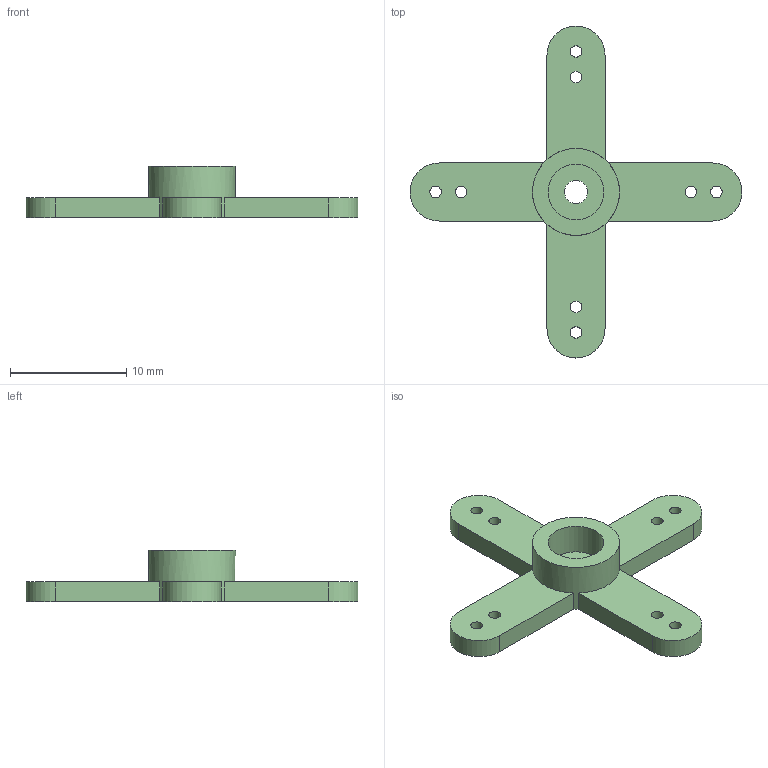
import cadquery as cq

span = 28.6
total_height = 4.4

arm_width = 5.0
arm_thickness = 1.7

hub_diameter = 7.5
socket_diameter = 4.8
socket_depth = total_height - arm_thickness
screw_hole_diameter = 2.0

link_hole_diameter = 1.0
link_hole_pitch = 2.2
link_hole_tip_distance = 2.2
outer_link_hole_radius = span / 2 - link_hole_tip_distance
link_hole_radii = [outer_link_hole_radius, outer_link_hole_radius - link_hole_pitch]

bar_angles = [0, 90]
arm_angles = [0, 90, 180, 270]


def make_bar(angle):
    """Round-ended bar that forms two opposite arms."""
    return cq.Workplane("XY").slot2D(span, arm_width, angle).extrude(arm_thickness)


def make_hub():
    """Solid round hub, standing on the same base plane as the arms."""
    return cq.Workplane("XY").circle(hub_diameter / 2).extrude(total_height)


def make_socket():
    """Blind spline socket, open at the top of the hub."""
    socket_floor = total_height - socket_depth
    return (
        cq.Workplane("XY")
        .workplane(offset=socket_floor)
        .circle(socket_diameter / 2)
        .extrude(socket_depth)
    )


def make_screw_hole():
    """Screw clearance hole through the hub floor."""
    return cq.Workplane("XY").circle(screw_hole_diameter / 2).extrude(total_height)


def make_link_holes(angle):
    """Row of through holes along the arm at the given angle."""
    return (
        cq.Workplane("XY")
        .pushPoints([(radius, 0) for radius in link_hole_radii])
        .circle(link_hole_diameter / 2)
        .extrude(arm_thickness)
        .rotate((0, 0, 0), (0, 0, 1), angle)
    )


horn = make_hub()
for bar_angle in bar_angles:
    horn = horn.union(make_bar(bar_angle))

horn = horn.cut(make_socket()).cut(make_screw_hole())
for arm_angle in arm_angles:
    horn = horn.cut(make_link_holes(arm_angle))

result = horn